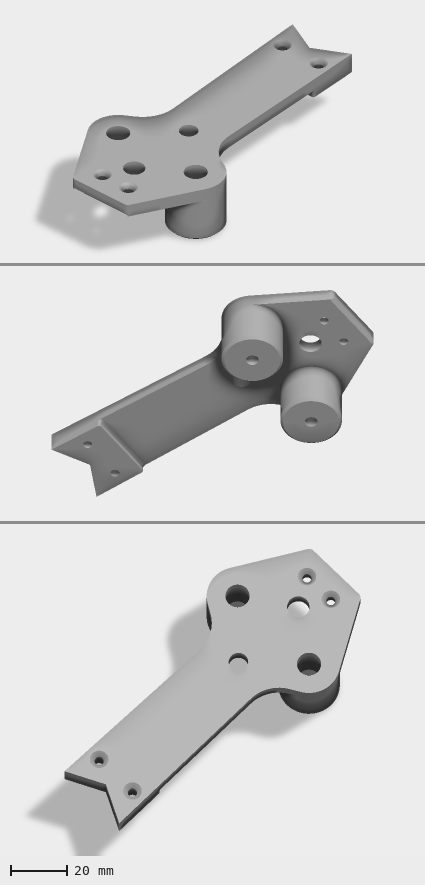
import cadquery as cq
import math

plate_thickness = 5.0
overall_length = 122.06
front_y = -31.4
front_corner_radius = 2.0
front_edge_chamfer = 1.0

boss_spacing = 36.34
boss_diameter = 22.0
boss_length = 17.2
boss_chamfer = 1.0
boss_bore_diameter = 8.6
boss_bore_floor = 5.0
boss_through_diameter = 4.6

front_flank_angle = -30.0
shoulder_angle = 60.0

arm_tip_y = front_y + overall_length
arm_tip_half_width = 13.9
neck_half_width = 12.9
notch_depth = 7.0
blend_radius = 14.0

pad_height = 3.0
pad_length = 20.8
pad_root_fillet = 1.0
pad_corner_radius = 0.8

rear_hole_diameter = 7.0
rear_hole_y = 17.4
front_hole_diameter = 8.0
front_hole_y = -12.5

screw_diameter = 3.2
screw_head_diameter = 6.6
screw_head_angle = 90.0
front_screw_spacing = 12.1
front_screw_y = -22.8
arm_screw_spacing = 16.9
arm_screw_y = 78.7

boss_radius = boss_diameter / 2
boss_x = boss_spacing / 2
pad_front_y = arm_tip_y - pad_length

select_reach = 0.7


def ear_point(angle):
    """Point of the +X ear at the given angle in degrees."""
    turn = math.radians(angle)
    return boss_x + boss_radius * math.cos(turn), boss_radius * math.sin(turn)


def x_along_edge(point, normal_angle, y):
    """X where the straight edge through point reaches the given Y."""
    return point[0] - (y - point[1]) * math.tan(math.radians(normal_angle))


def y_along_edge(point, normal_angle, x):
    """Y where the straight edge through point reaches the given X."""
    return point[1] - (x - point[0]) / math.tan(math.radians(normal_angle))


def mirrored(point):
    return -point[0], point[1]


def vertical_edges_at(x, y):
    """Selector for the vertical plate edges at (x, y) and its mirror image."""
    left, right = [
        cq.selectors.BoxSelector(
            (centre_x - select_reach, y - select_reach, select_reach),
            (centre_x + select_reach, y + select_reach, plate_thickness - select_reach),
        )
        for centre_x in (-x, x)
    ]
    return left + right


flank_start = ear_point(front_flank_angle)
ear_middle = ear_point((front_flank_angle + shoulder_angle) / 2)
shoulder_start = ear_point(shoulder_angle)
front_corner = (x_along_edge(flank_start, front_flank_angle, front_y), front_y)
neck = (neck_half_width, y_along_edge(shoulder_start, shoulder_angle, neck_half_width))
arm_tip = (arm_tip_half_width, arm_tip_y)


def outline():
    return (
        cq.Workplane("XY")
        .moveTo(*mirrored(front_corner))
        .lineTo(*front_corner)
        .lineTo(*flank_start)
        .threePointArc(ear_middle, shoulder_start)
        .lineTo(*neck)
        .lineTo(*arm_tip)
        .lineTo(0, arm_tip_y - notch_depth)
        .lineTo(*mirrored(arm_tip))
        .lineTo(*mirrored(neck))
        .lineTo(*mirrored(shoulder_start))
        .threePointArc(mirrored(ear_middle), mirrored(flank_start))
        .close()
    )


def make_plate():
    plate = outline().extrude(plate_thickness)
    plate = plate.edges(vertical_edges_at(*neck)).fillet(blend_radius)
    plate = plate.edges(vertical_edges_at(*front_corner)).fillet(front_corner_radius)
    return plate.cut(make_front_edge_wedge())


def make_front_edge_wedge():
    """Material below the chamfer on the lower front edge, as wide as the front corners."""
    return (
        cq.Workplane("YZ")
        .moveTo(front_y, 0)
        .lineTo(front_y + front_edge_chamfer, 0)
        .lineTo(front_y, front_edge_chamfer)
        .close()
        .extrude(front_corner[0], both=True)
    )


def below_arm(front, thickness):
    """Material below the outline that lies behind the given Y."""
    zone = cq.Workplane("XY").box(
        boss_spacing, arm_tip_y - front, thickness, centered=(True, False, False)
    )
    zone = zone.translate((0, front, -thickness))
    return outline().extrude(-thickness).intersect(zone)


def make_pad():
    """Pad with rounded front corners and a root fillet that runs around them."""
    pad = below_arm(pad_front_y, pad_height)
    pad = pad.faces("<Y").edges("|Z").fillet(pad_corner_radius)
    slab = cq.Workplane("XY").box(
        boss_spacing, 2 * arm_tip_y, plate_thickness, centered=(True, False, False)
    )
    root = cq.selectors.BoxSelector(
        (-select_reach, pad_front_y - select_reach, -select_reach),
        (select_reach, pad_front_y + select_reach, select_reach),
    )
    flared_pad = slab.union(pad).edges(root).fillet(pad_root_fillet)
    return flared_pad.intersect(below_arm(pad_front_y - pad_root_fillet, pad_height))


def make_bosses():
    sketch_plane = cq.Plane(origin=(0, 0, 0), xDir=(0, 1, 0), normal=(0, 0, 1))
    return (
        cq.Workplane(sketch_plane)
        .pushPoints([(0, -boss_x), (0, boss_x)])
        .circle(boss_radius)
        .extrude(-boss_length)
        .faces("<Z")
        .chamfer(boss_chamfer)
    )


def from_top(body, points):
    """Select points on the plate's top face, ready for drilling down."""
    return body.faces(">Z").workplane(origin=(0, 0, plate_thickness)).pushPoints(points)


def drill_pair(body, spacing, y):
    """Two countersunk screw holes side by side."""
    return from_top(body, [(-spacing / 2, y), (spacing / 2, y)]).cskHole(
        screw_diameter, screw_head_diameter, screw_head_angle
    )


result = make_plate().union(make_pad()).union(make_bosses())
result = from_top(result, [(-boss_x, 0), (boss_x, 0)]).cboreHole(
    boss_through_diameter, boss_bore_diameter, plate_thickness + boss_length - boss_bore_floor
)
result = from_top(result, [(0, rear_hole_y)]).hole(rear_hole_diameter)
result = from_top(result, [(0, front_hole_y)]).hole(front_hole_diameter)
result = drill_pair(result, front_screw_spacing, front_screw_y)
result = drill_pair(result, arm_screw_spacing, arm_screw_y).solids()